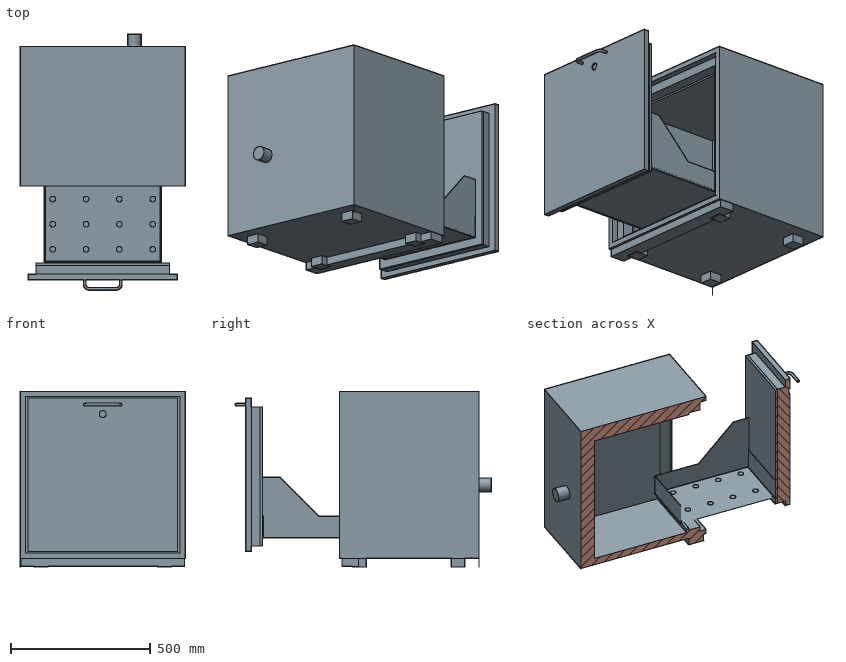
import cadquery as cq
import math


CABINET_WIDTH = 593.0
CABINET_DEPTH = 501.0
CABINET_HEIGHT = 600.0
FOOT_HEIGHT = 31.0
CABINET_TOP = FOOT_HEIGHT + CABINET_HEIGHT

RABBET_DEPTH = 24.0
RABBET_MARGIN = 19.0
THROAT_DEPTH = 44.0
THROAT_MARGIN = 52.0
THROAT_SILL = 38.0
LIP_DEPTH = 11.0
LIP_MARGIN = 60.0
LIP_SILL = 44.0
CAVITY_FLOOR = 29.0
BACK_WALL = 55.0

SPIGOT_DIAMETER = 50.0
SPIGOT_LENGTH = 44.0
SPIGOT_X = 114.0
SPIGOT_Z = 295.0

FOOT_SIZE = 50.0
FOOT_SIDE_INSET = 75.0
FOOT_FRONT_INSET = 72.0
FOOT_BACK_INSET = 75.0
STRIP_SIZE = 1.0

PLINTH_SIDE_INSET = 3.0
PLINTH_SETBACK = 9.0
PLINTH_DEPTH = 60.0
PLINTH_GROUND_GAP = 3.0

DOOR_FRONT_Y = -337.0
DOOR_MARGIN = 25.0
DOOR_WIDTH = 536.0
DOOR_THICKNESS = 20.0
DOOR_CORE_WIDTH = 480.0
DOOR_CORE_THICKNESS = 31.0
DOOR_CORE_TOP_MARGIN = 56.0
DOOR_CORE_BOTTOM_MARGIN = 44.0
BACKING_THICKNESS = 9.0
DOOR_HEIGHT = CABINET_HEIGHT - 2 * DOOR_MARGIN
DOOR_CORE_HEIGHT = CABINET_HEIGHT - DOOR_CORE_TOP_MARGIN - DOOR_CORE_BOTTOM_MARGIN
DOOR_BOTTOM = FOOT_HEIGHT + DOOR_MARGIN
DOOR_CORE_BOTTOM = FOOT_HEIGHT + DOOR_CORE_BOTTOM_MARGIN
DOOR_REAR_Y = DOOR_FRONT_Y + DOOR_THICKNESS
CORE_REAR_Y = DOOR_REAR_Y + DOOR_CORE_THICKNESS
BACKING_REAR_Y = CORE_REAR_Y + BACKING_THICKNESS

LOCK_DIAMETER = 25.0
LOCK_DEPTH = 5.0
LOCK_Z = CABINET_TOP - 82.0

HANDLE_DIAMETER = 10.0
HANDLE_SPAN = 129.0
HANDLE_BEND_RADIUS = 16.0
HANDLE_REACH = 38.0
HANDLE_Z = CABINET_TOP - 48.0

TRAY_WIDTH = 423.0
TRAY_BOTTOM = 105.0
TRAY_RIM = 183.0
TRAY_REAR_Y = 101.0
TRAY_SHEET = 1.0
TRAY_DOOR_GAP = 2.0
BRACKET_TOP = 323.0
BRACKET_LENGTH = 62.5
TRAY_FRONT_Y = BACKING_REAR_Y + TRAY_DOOR_GAP

INSERT_INSET = 5.0
INSERT_HEIGHT = 7.0
INSERT_SHEET = 1.0
INSERT_BOTTOM = TRAY_BOTTOM + TRAY_SHEET
INSERT_TOP = INSERT_BOTTOM + INSERT_HEIGHT
HOLE_DIAMETER = 20.0
HOLE_COUNT = 4
HOLE_PITCH_X = 120.0
HOLE_PITCH_Y = 90.0
FIRST_HOLE_INSET_Y = 47.0


def block(width, y_front, y_rear, z_bottom, z_top, x_middle=0.0):
    """Upright box given by its width and its limits in Y and Z."""
    return cq.Workplane("XY").box(
        width, y_rear - y_front, z_top - z_bottom, centered=(True, False, False)
    ).translate((x_middle, y_front, z_bottom))


def opening_stage(y_front, y_rear, margin, sill):
    """One stage of the cabinet opening, as a solid to cut away."""
    width = CABINET_WIDTH - 2 * margin
    return block(width, y_front, y_rear, FOOT_HEIGHT + sill, CABINET_TOP - margin)


def make_feet():
    feet = cq.Workplane("XY")
    foot_x = CABINET_WIDTH / 2 - FOOT_SIDE_INSET
    for x in (-foot_x, foot_x):
        for y in (FOOT_FRONT_INSET, CABINET_DEPTH - FOOT_BACK_INSET):
            feet = feet.union(
                block(FOOT_SIZE, y - FOOT_SIZE / 2, y + FOOT_SIZE / 2, 0, FOOT_HEIGHT, x)
            )
    return feet


def make_plinth():
    width = CABINET_WIDTH - 2 * PLINTH_SIDE_INSET
    rear_y = PLINTH_SETBACK + PLINTH_DEPTH
    return block(width, PLINTH_SETBACK, rear_y, PLINTH_GROUND_GAP, FOOT_HEIGHT)


def make_cabinet():
    shell = block(CABINET_WIDTH, 0, CABINET_DEPTH, FOOT_HEIGHT, CABINET_TOP)

    throat_y = RABBET_DEPTH
    lip_y = throat_y + THROAT_DEPTH
    cavity_y = lip_y + LIP_DEPTH
    shell = shell.cut(opening_stage(0, throat_y, RABBET_MARGIN, RABBET_MARGIN))
    shell = shell.cut(opening_stage(throat_y, lip_y, THROAT_MARGIN, THROAT_SILL))
    shell = shell.cut(opening_stage(lip_y, cavity_y, LIP_MARGIN, LIP_SILL))
    shell = shell.cut(
        opening_stage(cavity_y, CABINET_DEPTH - BACK_WALL, LIP_MARGIN, CAVITY_FLOOR)
    )

    spigot = (
        cq.Workplane("XZ", origin=(SPIGOT_X, CABINET_DEPTH, SPIGOT_Z))
        .circle(SPIGOT_DIAMETER / 2)
        .extrude(-SPIGOT_LENGTH)
    )

    strip_x = (STRIP_SIZE - CABINET_WIDTH) / 2
    strip = block(STRIP_SIZE, CABINET_DEPTH - STRIP_SIZE, CABINET_DEPTH, 0, FOOT_HEIGHT, strip_x)
    return shell.union(spigot).union(make_plinth()).union(make_feet()).union(strip)


def make_door():
    panel = block(DOOR_WIDTH, DOOR_FRONT_Y, DOOR_REAR_Y, DOOR_BOTTOM, DOOR_BOTTOM + DOOR_HEIGHT)
    core_top = DOOR_CORE_BOTTOM + DOOR_CORE_HEIGHT
    core = block(DOOR_CORE_WIDTH, DOOR_REAR_Y, CORE_REAR_Y, DOOR_CORE_BOTTOM, core_top)
    lock_recess = (
        cq.Workplane("XZ", origin=(0, DOOR_FRONT_Y, LOCK_Z))
        .circle(LOCK_DIAMETER / 2)
        .extrude(-LOCK_DEPTH)
    )
    return panel.union(core).cut(lock_recess)


def make_backing():
    """Plate on the rear of the door core, flush with its outline."""
    top = DOOR_CORE_BOTTOM + DOOR_CORE_HEIGHT
    return block(DOOR_CORE_WIDTH, CORE_REAR_Y, BACKING_REAR_Y, DOOR_CORE_BOTTOM, top)


def make_handle():
    """Round bar bent into a bow, swept along its centre line."""
    leg_x = HANDLE_SPAN / 2
    bar_x = leg_x - HANDLE_BEND_RADIUS
    bar_y = DOOR_FRONT_Y - HANDLE_REACH + HANDLE_DIAMETER / 2
    leg_end_y = bar_y + HANDLE_BEND_RADIUS
    bend_offset = HANDLE_BEND_RADIUS * math.sqrt(0.5)
    bend_x = bar_x + bend_offset
    bend_y = leg_end_y - bend_offset
    path = (
        cq.Workplane("XY", origin=(0, 0, HANDLE_Z))
        .moveTo(-leg_x, DOOR_FRONT_Y)
        .lineTo(-leg_x, leg_end_y)
        .threePointArc((-bend_x, bend_y), (-bar_x, bar_y))
        .lineTo(bar_x, bar_y)
        .threePointArc((bend_x, bend_y), (leg_x, leg_end_y))
        .lineTo(leg_x, DOOR_FRONT_Y)
    )
    return (
        cq.Workplane("XZ", origin=(-leg_x, DOOR_FRONT_Y, HANDLE_Z))
        .circle(HANDLE_DIAMETER / 2)
        .sweep(path)
    )


def make_tray_side(x_left):
    """Side wall whose front rises at 45 degrees into a bracket that meets the door."""
    bracket_y = BACKING_REAR_Y + BRACKET_LENGTH
    slope_end_y = bracket_y + BRACKET_TOP - TRAY_RIM
    return (
        cq.Workplane("YZ", origin=(x_left, 0, 0))
        .polyline([
            (TRAY_FRONT_Y, TRAY_BOTTOM),
            (TRAY_REAR_Y, TRAY_BOTTOM),
            (TRAY_REAR_Y, TRAY_RIM),
            (slope_end_y, TRAY_RIM),
            (bracket_y, BRACKET_TOP),
            (BACKING_REAR_Y, BRACKET_TOP),
            (BACKING_REAR_Y, TRAY_RIM),
            (TRAY_FRONT_Y, TRAY_RIM),
        ])
        .close()
        .extrude(TRAY_SHEET)
    )


def make_tray():
    outer = block(TRAY_WIDTH, TRAY_FRONT_Y, TRAY_REAR_Y, TRAY_BOTTOM, TRAY_RIM)
    inner = block(
        TRAY_WIDTH - 2 * TRAY_SHEET, TRAY_FRONT_Y + TRAY_SHEET, TRAY_REAR_Y - TRAY_SHEET,
        INSERT_BOTTOM, TRAY_RIM,
    )
    tray = outer.cut(inner)
    for x_left in (-TRAY_WIDTH / 2, TRAY_WIDTH / 2 - TRAY_SHEET):
        tray = tray.union(make_tray_side(x_left))
    return tray


def make_insert():
    """Perforated sheet with edges folded down onto the tray floor, clear of the tray walls."""
    width = TRAY_WIDTH - 2 * INSERT_INSET
    front_y = TRAY_FRONT_Y + INSERT_INSET
    rear_y = TRAY_REAR_Y - INSERT_INSET
    outer = block(width, front_y, rear_y, INSERT_BOTTOM, INSERT_TOP)
    underside = block(
        width - 2 * INSERT_SHEET, front_y + INSERT_SHEET, rear_y - INSERT_SHEET,
        INSERT_BOTTOM, INSERT_TOP - INSERT_SHEET,
    )
    hole_middle_y = TRAY_FRONT_Y + FIRST_HOLE_INSET_Y + HOLE_PITCH_Y * (HOLE_COUNT - 1) / 2
    holes = (
        cq.Workplane("XY", origin=(0, hole_middle_y, INSERT_BOTTOM))
        .rarray(HOLE_PITCH_X, HOLE_PITCH_Y, HOLE_COUNT, HOLE_COUNT)
        .circle(HOLE_DIAMETER / 2)
        .extrude(INSERT_HEIGHT)
    )
    return outer.cut(underside).cut(holes)


cabinet = make_cabinet()
tray = make_tray()
insert = make_insert()
door = make_door()
backing = make_backing()
handle = make_handle()

result = cq.Compound.makeCompound([
    cabinet.val(),
    tray.val(),
    insert.val(),
    door.val(),
    backing.val(),
    handle.val(),
])